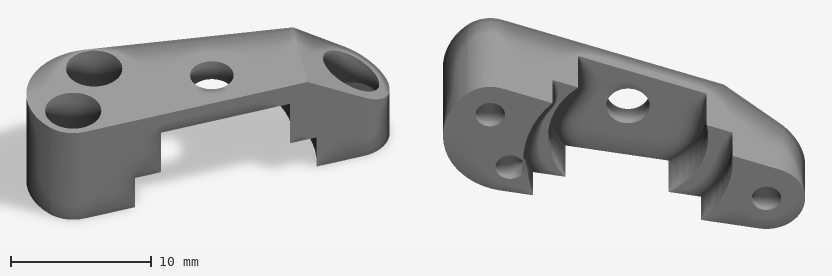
import cadquery as cq
import math

height = 8.0

heel = (0.0, 0.0)
heel_radius = 2.5
tip = (10.0, 18.5)
tip_radius = 2.75
lobe_radius = 5.0
lobe = (heel[0], heel[1] - heel_radius + lobe_radius)

side_screw = (-2.0, 4.5)
screw_centres = [heel, side_screw, tip]
screw_diameter = 2.1
head_diameter = 4.0
head_floor = 3.0

pivot = (4.75, 9.5)
pivot_diameter = 3.1
wide_relief_radius = 7.45
wide_relief_top = 2.7
narrow_relief_radius = 5.7
narrow_relief_top = 6.35

slope_angle = math.radians(31.8)
slope_setback = 3.72
cutter_reach = 12.0


def wall_normal_angle(start, start_radius, end, end_radius, turn):
    """Angle of the outward normal of the tangent wall joining two circles; turn is +1 left, -1 right."""
    dx = end[0] - start[0]
    dy = end[1] - start[1]
    lean = math.acos((start_radius - end_radius) / math.hypot(dx, dy))
    return math.atan2(dy, dx) + turn * lean


def point_on_circle(centre, radius, angle):
    return (centre[0] + radius * math.cos(angle), centre[1] + radius * math.sin(angle))


left_normal = wall_normal_angle(lobe, lobe_radius, tip, tip_radius, 1)
right_normal = wall_normal_angle(heel, heel_radius, tip, tip_radius, -1)


def make_body():
    """Full-height arm bounded by two tangent walls and three arcs."""
    lowest = -math.pi / 2
    leftmost = math.pi
    tip_middle = (left_normal + right_normal) / 2
    heel_middle = (lowest + right_normal) / 2
    return (
        cq.Workplane("XY")
        .moveTo(*point_on_circle(heel, heel_radius, right_normal))
        .lineTo(*point_on_circle(tip, tip_radius, right_normal))
        .threePointArc(
            point_on_circle(tip, tip_radius, tip_middle),
            point_on_circle(tip, tip_radius, left_normal),
        )
        .lineTo(*point_on_circle(lobe, lobe_radius, left_normal))
        .threePointArc(
            point_on_circle(lobe, lobe_radius, leftmost),
            point_on_circle(lobe, lobe_radius, lowest),
        )
        .threePointArc(
            point_on_circle(heel, heel_radius, heel_middle),
            point_on_circle(heel, heel_radius, right_normal),
        )
        .close()
        .extrude(height)
    )


def make_slope_cutter():
    """Wedge above the sloping tip, swept across the arm."""
    wall_direction = left_normal - math.pi / 2
    slope_start = point_on_circle(tip, -slope_setback, wall_direction)
    slope_plane = cq.Plane(
        origin=(*slope_start, height),
        xDir=(math.cos(wall_direction), math.sin(wall_direction), 0),
        normal=(math.sin(wall_direction), -math.cos(wall_direction), 0),
    )
    drop = cutter_reach * math.tan(slope_angle)
    return (
        cq.Workplane(slope_plane)
        .polyline([(0, 0), (cutter_reach, 0), (cutter_reach, -drop)])
        .close()
        .extrude(cutter_reach, both=True)
    )


def make_cylinder(centre, radius, bottom, top):
    return cq.Workplane("XY", origin=(*centre, bottom)).circle(radius).extrude(top - bottom)


def cut_screw_hole(part, centre):
    """Through hole with a head recess open at the top."""
    part = part.cut(make_cylinder(centre, screw_diameter / 2, 0, height))
    return part.cut(make_cylinder(centre, head_diameter / 2, head_floor, height))


def cut_pivot(part):
    """Pivot through hole and the two-step relief below it."""
    part = part.cut(make_cylinder(pivot, pivot_diameter / 2, 0, height))
    part = part.cut(make_cylinder(pivot, wide_relief_radius, 0, wide_relief_top))
    return part.cut(make_cylinder(pivot, narrow_relief_radius, 0, narrow_relief_top))


result = make_body().cut(make_slope_cutter())
for screw_centre in screw_centres:
    result = cut_screw_hole(result, screw_centre)
result = cut_pivot(result)